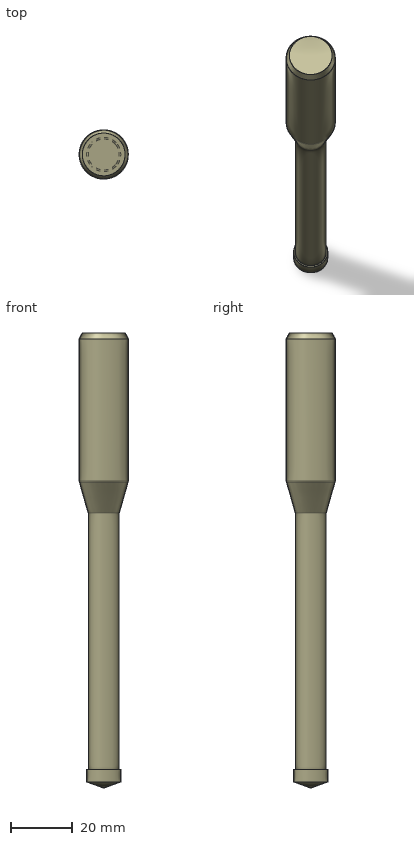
import cadquery as cq
import math

total_length = 147.0

tip_radius = 5.51
tip_length = 6.0
point_angle = 140.0
point_height = tip_radius / math.tan(math.radians(point_angle / 2))

neck_radius = 5.0
neck_top = 88.8
shank_radius = 8.0
shank_bottom = 99.2
shoulder_height = 0.6
shoulder_inset = 0.1
chamfer_width = 1.0
chamfer_height = 1.9


def revolve_profile(points):
    """Turn a closed (radius, height) outline around the Z axis."""
    return cq.Workplane("XZ").polyline(points).close().revolve(360, (0, 0), (0, 1))


def make_cutting_tip():
    """Tip with its point at the origin."""
    return revolve_profile([
        (0, 0),
        (tip_radius, point_height),
        (tip_radius, tip_length),
        (0, tip_length),
    ])


def make_holder():
    """Neck, transition cone and chamfered shank, standing on the tip."""
    return revolve_profile([
        (0, tip_length),
        (neck_radius, tip_length),
        (neck_radius, neck_top),
        (shank_radius - shoulder_inset, shank_bottom - shoulder_height),
        (shank_radius, shank_bottom),
        (shank_radius, total_length - chamfer_height),
        (shank_radius - chamfer_width, total_length),
        (0, total_length),
    ])


cutting_tip = make_cutting_tip()
holder = make_holder()

result = cq.Compound.makeCompound([cutting_tip.val(), holder.val()])